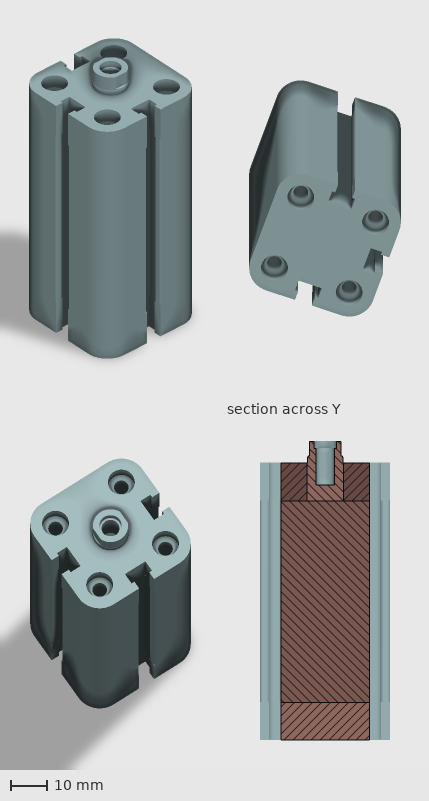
import cadquery as cq
total_height = 83.0
side = 36.0
corner_radius = 7.0
body_height = 77.0
cap_height = 10.5
barrel_height = body_height - 2 * cap_height
upper_cap_base = body_height - cap_height

slot_mouth_width = 5.0
slot_inner_width = 6.8
slot_lip = 2.4
slot_depth = 5.7
slot_angles = (0, 90, -90)
barrel_corner_radius = 0.4
barrel_lip_chamfer = 0.3

screw_spacing = 22.0
screw_hole_diameter = 4.1
screw_head_diameter = 7.5
screw_head_depth = 4.0

rod_diameter = 10.0
rod_tip_diameter = 9.8
rod_bevel_base = 78.35
rod_tip_base = 78.6
flat_width = 9.0
flat_ramp_top = 79.0
flat_ramp_bottom = 78.8
thread_diameter = 5.0
thread_depth = 12.0
thread_relief_diameter = 6.2
thread_relief_depth = 2.0


def block(base, height):
    """Square block with rounded upright corners."""
    return (
        cq.Workplane("XY", origin=(0, 0, base))
        .rect(side, side)
        .extrude(height)
        .edges("|Z")
        .fillet(corner_radius)
    )


def slot_cutter(base, height):
    """T-slot opening through the -Y face."""
    outer_face = -side / 2
    mouth = (
        cq.Workplane("XY", origin=(0, outer_face + slot_lip / 2, base))
        .rect(slot_mouth_width, slot_lip)
        .extrude(height)
    )
    return mouth.union(slot_chamber(base, height))


def slot_chamber(base, height):
    """Wide inner part of a T-slot, behind its lips."""
    chamber_depth = slot_depth - slot_lip
    chamber_center = -side / 2 + slot_lip + chamber_depth / 2
    return (
        cq.Workplane("XY", origin=(0, chamber_center, base))
        .rect(slot_inner_width, chamber_depth)
        .extrude(height)
    )


def barrel_slot_cutter(base, height):
    """T-slot with rounded chamber corners and chamfers on both edges of each lip."""
    outer_face = -side / 2
    lip_face = outer_face + slot_lip
    half_mouth = slot_mouth_width / 2
    half_flare = half_mouth + barrel_lip_chamfer
    mouth = (
        cq.Workplane("XY", origin=(0, 0, base))
        .polyline([
            (-half_flare, outer_face),
            (-half_mouth, outer_face + barrel_lip_chamfer),
            (-half_mouth, lip_face - barrel_lip_chamfer),
            (-half_flare, lip_face),
            (half_flare, lip_face),
            (half_mouth, lip_face - barrel_lip_chamfer),
            (half_mouth, outer_face + barrel_lip_chamfer),
            (half_flare, outer_face),
        ])
        .close()
        .extrude(height)
    )
    chamber = slot_chamber(base, height).edges("|Z").fillet(barrel_corner_radius)
    return mouth.union(chamber)


def cut_slots(body, cutter):
    """Cut one slot on each slotted side."""
    for angle in slot_angles:
        body = body.cut(cutter.rotate((0, 0, 0), (0, 0, 1), angle))
    return body


def drill_screw_holes(body, diameter, base, depth):
    """Four upright holes, one near each corner."""
    drills = (
        cq.Workplane("XY", origin=(0, 0, base))
        .rect(screw_spacing, screw_spacing, forConstruction=True)
        .vertices()
        .circle(diameter / 2)
        .extrude(depth)
    )
    return body.cut(drills)


def cylinder(diameter, base, height):
    """Upright cylinder on the main axis."""
    return cq.Workplane("XY", origin=(0, 0, base)).circle(diameter / 2).extrude(height)


def make_cap(base, head_base):
    """End cap with slots and screw holes; the screw heads sit in recesses starting at head_base."""
    cap = cut_slots(block(base, cap_height), slot_cutter(base, cap_height))
    cap = drill_screw_holes(cap, screw_hole_diameter, base, cap_height)
    return drill_screw_holes(cap, screw_head_diameter, head_base, screw_head_depth)


def make_barrel():
    """Slotted profile between the two end caps."""
    cutter = barrel_slot_cutter(cap_height, barrel_height)
    barrel = cut_slots(block(cap_height, barrel_height), cutter)
    return drill_screw_holes(barrel, screw_hole_diameter, cap_height, barrel_height)


def rod_blank():
    """Stepped rod, with a short bevel between the shank and the slimmer tip."""
    return (
        cq.Workplane("XZ")
        .polyline([
            (0, upper_cap_base),
            (rod_diameter / 2, upper_cap_base),
            (rod_diameter / 2, rod_bevel_base),
            (rod_tip_diameter / 2, rod_tip_base),
            (rod_tip_diameter / 2, total_height),
            (0, total_height),
        ])
        .close()
        .revolve(360, (0, 0, 0), (0, 1, 0))
    )


def flat_cutter():
    """Cutter for the wrench flat on +X, whose floor slopes down towards the outside."""
    return (
        cq.Workplane("XZ")
        .polyline([
            (flat_width / 2, total_height),
            (flat_width / 2, flat_ramp_top),
            (rod_tip_diameter / 2, flat_ramp_bottom),
            (rod_tip_diameter / 2, total_height),
        ])
        .close()
        .extrude(rod_diameter / 2, both=True)
    )


def make_rod():
    """Piston rod with wrench flats and a stepped threaded hole in its tip."""
    cutter = flat_cutter()
    rod = rod_blank().cut(cutter).cut(cutter.mirror("YZ"))
    rod = rod.cut(cylinder(thread_diameter, total_height - thread_depth, thread_depth))
    return rod.cut(
        cylinder(thread_relief_diameter, total_height - thread_relief_depth, thread_relief_depth)
    )


lower_cap = make_cap(base=0, head_base=0)
barrel = make_barrel()
rod = make_rod()
upper_cap = make_cap(base=upper_cap_base, head_base=body_height - screw_head_depth)
upper_cap = upper_cap.cut(cylinder(rod_diameter, upper_cap_base, cap_height))

result = cq.Compound.makeCompound(
    [lower_cap.val(), barrel.val(), upper_cap.val(), rod.val()]
)